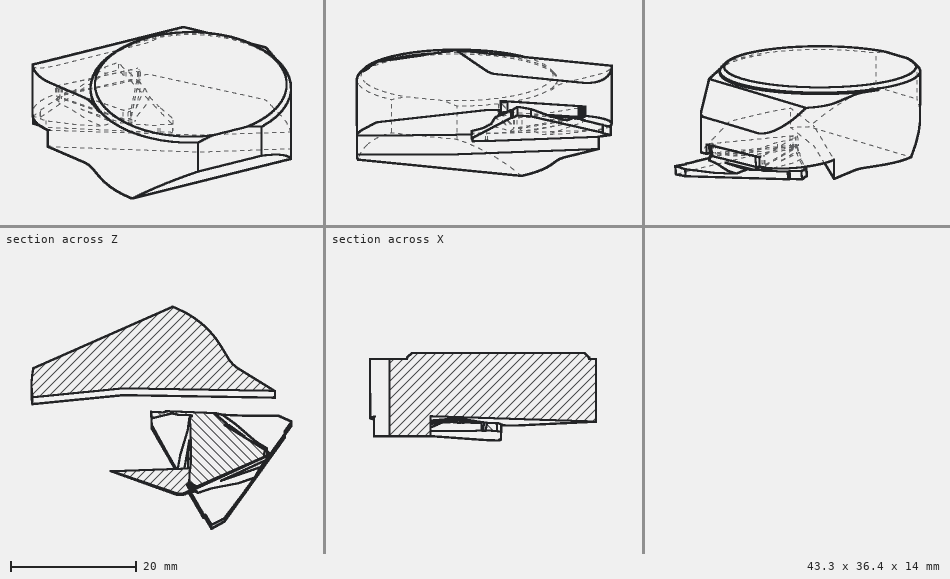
import cadquery as cq
import math

head_radius = 16.0
total_height = 13.3
head_rise = 0.95
head_chamfer = 0.7
flat_x = 15.0
under_chamfer = 7.1
nose_x = -21.8
nose_chamfer = 4.7
nose_top = total_height - head_rise

flank_start_x = -6.2
flank_angle = 41.0
flank_top_radius = 1.3
flank_nose_radius = 1.8
throat_x = -4.0
throat_angle = 27.0
throat_radius = 5.0
nose_corner_radius = 7.33

insert_center = (-17.2, -6.65, 0.30)
slope_x = 0.0699
slope_y = -0.0324
flange_inradius = 7.1
flange_thickness = 1.4
tip_reach = 11.02
tip_lean = 0.2
tip_width = 2.4
notch_depth = 0.25
notch_reach = 8.7

core_inradius = 4.3
core_corner_radius = 7.4
insert_height = 3.55
core_flare = 0.4
flare_angle = 45.0

rake_end = 7.7
groove_end = 6.4
rake_end_height = 1.25
groove_end_height = 1.3
groove_tilt = 4.5
groove_floor = 0.7
ramp_foot = (-4.4, 6.25)
ramp_turn = 6.0
ramp_angle = 33.0

relief_height = 2.0
pocket_corner_radius = 8.2
pocket_half_width = 7.2
pocket_mouth_back = 3.3
wall_foot = (-11.45, -19.7)
wall_bend = (0.0, 1.5)
back_wall_end = (5.15, 15.15)
reach = 60.0

insert_plane = cq.Plane(
    origin=insert_center,
    xDir=(1, 0, slope_x),
    normal=(-slope_x, -slope_y, 1),
)


def cotangent(angle):
    return 1 / math.tan(math.radians(angle))


def turned(point, angle):
    """Point turned about the insert centre."""
    c = math.cos(math.radians(angle))
    s = math.sin(math.radians(angle))
    return (point[0] * c - point[1] * s, point[0] * s + point[1] * c)


def flange_prism(height):
    """Triangle with a notch and a short end flat at each of its three tips."""
    notched_side = flange_inradius - notch_depth
    tip = [
        (-notch_reach, flange_inradius),
        (-notch_reach - notch_depth, notched_side),
        (-tip_reach, notched_side),
        (-tip_reach + tip_lean, notched_side - tip_width),
    ]
    outline = [turned(point, angle) for angle in (0, 120, 240) for point in tip]
    return cq.Workplane("XY").polyline(outline).close().extrude(height)


def rounded_triangle(corner_radius, height, inradius=core_inradius, taper=0):
    """Triangle facing -X, with its corners cut by a circle about the insert centre."""
    triangle = cq.Workplane("XY").polygon(3, 4 * inradius).extrude(height, taper=taper)
    return triangle.intersect(cq.Workplane("XY").circle(corner_radius).extrude(height))


def chip_groove():
    """Cutter for the rake face, groove floor and ramp on the -X tip."""
    profile = [
        (-tip_reach, flange_thickness),
        (-rake_end, rake_end_height),
        (-groove_end, groove_end_height),
        (0, groove_end_height),
        (0, insert_height),
        (-2 * tip_reach, insert_height),
        (-2 * tip_reach, flange_thickness),
    ]
    length = 2 * flange_inradius
    cutter = cq.Workplane("XZ").polyline(profile).close().extrude(length, both=True)
    pivot = (0, flange_inradius, flange_thickness)
    cutter = cutter.rotate(pivot, (1, pivot[1], pivot[2]), groove_tilt)
    ramp = (
        cq.Workplane("XZ")
        .lineTo(insert_height * cotangent(ramp_angle), insert_height)
        .lineTo(reach, insert_height)
        .lineTo(reach, -insert_height)
        .lineTo(-insert_height * cotangent(ramp_angle), -insert_height)
        .close()
        .extrude(reach, both=True)
        .rotate((0, 0, 0), (0, 0, 1), -ramp_turn)
        .translate((*ramp_foot, groove_end_height))
    )
    floor = cq.Workplane("XY").rect(2 * reach, 2 * reach).extrude(groove_floor)
    return cutter.cut(ramp).cut(floor)


def make_insert():
    flange = flange_prism(flange_thickness)
    for angle in (0, 120, 240):
        flange = flange.cut(chip_groove().rotate((0, 0, 0), (0, 0, 1), angle))

    core = rounded_triangle(core_corner_radius, insert_height)
    flare_height = flange_thickness + core_flare
    flare = rounded_triangle(
        core_corner_radius + core_flare,
        flare_height,
        core_inradius + flare_height / cotangent(flare_angle),
        flare_angle,
    ).intersect(flange_prism(flare_height))
    insert = flange.union(core).union(flare)
    return cq.Workplane(insert.val().moved(insert_plane.location))


def make_nose():
    top_y = head_radius
    flank_y = top_y - (flank_start_x - nose_x) / cotangent(flank_angle)
    corner_y = -head_radius - (throat_x - nose_x) / cotangent(throat_angle)
    flank_top = (flank_start_x, top_y)
    flank_nose = (nose_x, flank_y)
    nose_corner = (nose_x, corner_y)
    throat = (throat_x, -head_radius)
    nose = (
        cq.Workplane("XY")
        .polyline([(0, top_y), flank_top, flank_nose, nose_corner, throat, (0, -head_radius)])
        .close()
        .extrude(nose_top)
    )
    rounded_corners = [
        (flank_top, flank_top_radius),
        (flank_nose, flank_nose_radius),
        (nose_corner, nose_corner_radius),
        (throat, throat_radius),
    ]
    for (x, y), radius in rounded_corners:
        edge = cq.selectors.NearestToPointSelector((x, y, nose_top / 2))
        nose = nose.edges("|Z").edges(edge).fillet(radius)

    slope = (
        cq.Workplane("XZ")
        .moveTo(nose_x, nose_top)
        .lineTo(nose_x + nose_chamfer, nose_top)
        .lineTo(nose_x, nose_top - nose_chamfer)
        .close()
        .extrude(reach, both=True)
    )
    return nose.cut(slope)


def make_head():
    return cq.Workplane("XY").circle(head_radius).extrude(total_height).faces(">Z").chamfer(head_chamfer)


def head_flat():
    """Cutter for the +X flat and the 45 degree cut beneath it."""
    outer_x = flat_x + reach
    return (
        cq.Workplane("XZ")
        .polyline([
            (flat_x - under_chamfer, 0),
            (flat_x, under_chamfer),
            (flat_x, total_height),
            (outer_x, total_height),
            (outer_x, 0),
        ])
        .close()
        .extrude(reach, both=True)
    )


def extended(start, end):
    """Point on the line through both points, well beyond the end."""
    scale = reach / math.dist(start, end)
    return tuple(a + (b - a) * scale for a, b in zip(start, end))


def nose_relief():
    """Space under the nose, with walls that stand clear of the insert."""
    walls = [
        extended(wall_bend, wall_foot),
        wall_bend,
        extended(wall_bend, back_wall_end),
        (-reach, reach),
        (-reach, -reach),
    ]
    space = cq.Workplane("XY").polyline(walls).close().extrude(reach, both=True)
    below = cq.Workplane(insert_plane).workplane(offset=relief_height).rect(reach, reach).extrude(-reach)
    return space.intersect(below)


def core_pocket():
    """Seat for the insert core, open through the front of the nose."""
    seat = rounded_triangle(pocket_corner_radius, insert_height)
    mouth = cq.Workplane("XY").box(
        reach, 2 * pocket_half_width, insert_height, centered=(False, True, False)
    ).translate((-reach - pocket_mouth_back, 0, 0))
    return cq.Workplane(seat.union(mouth).val().moved(insert_plane.location))


def make_holder():
    blank = make_head().union(make_nose()).cut(head_flat())
    return blank.cut(nose_relief()).cut(core_pocket())


holder = make_holder()
insert = make_insert()
result = cq.Compound.makeCompound([holder.solids().val(), insert.solids().val()])